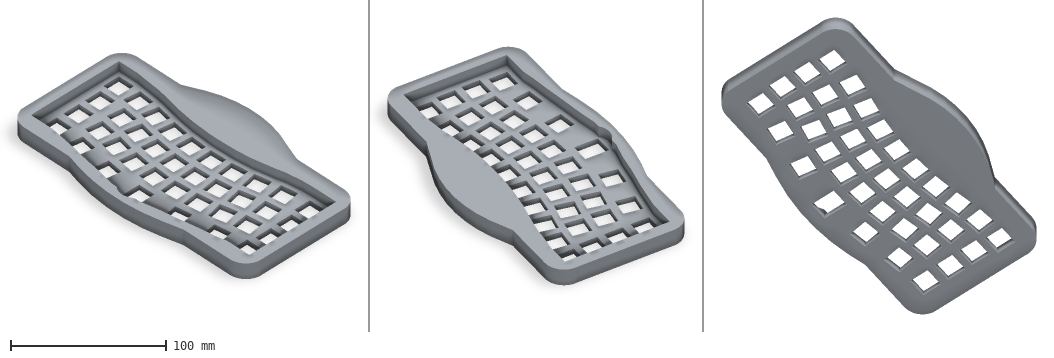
import cadquery as cq
import math

HEIGHT = 13.0
FLOOR_THICKNESS = 4.4
LEFT_X = -109.5
RIGHT_X = 109.4
BACK_Y = 51.5
FRONT_Y = -BACK_Y
SIDE_END_X = 95.1
BACK_CORNER_Y = 35.3
FRONT_CORNER_Y = -39.0
BACK_LEFT_MIDDLE = (-105.5, 47.3)
BACK_RIGHT_MIDDLE = (105.5, 47.1)
FRONT_RIGHT_MIDDLE = (105.5, -47.1)
FRONT_LEFT_MIDDLE = (-105.5, -47.1)

CREST_X = -2.6
BACK_CREST_Y = 66.0
CREST_TO_CREST = 125.8
FRONT_CREST_Y = BACK_CREST_Y - CREST_TO_CREST
BACK_LEAN = 0.5
BACK_BULGE = {
    "left_foot_x": -55.7,
    "left_shoulder": (-39.7, 58.7),
    "crest": (CREST_X, BACK_CREST_Y),
    "right_shoulder": (35.7, 57.5),
    "right_foot_x": 51.5,
}
FRONT_BULGE = {
    "left_foot_x": -53.0,
    "left_shoulder": (-40.3, -55.0),
    "crest": (CREST_X, FRONT_CREST_Y),
    "right_shoulder": (36.0, -55.5),
    "right_foot_x": 52.5,
}

KEY_SIZE = 14.0
BACK_ROW = [
    (-90.3, 29.4, 0), (-70.5, 27.8, -6), (-51.5, 24.8, -11.5), (-32.7, 21.3, -8.5), (-13.5, 19.3, -4),
    (5.7, 18.9, 1.5), (24.8, 20.0, 6), (43.8, 23.0, 11), (63.8, 27.0, 8), (87.0, 28.3, 0),
]
SECOND_ROW = [
    (-88.0, 10.3, 0), (-65.8, 8.3, -7.5), (-47.0, 4.8, -12.5), (-27.8, 1.5, -7.5), (-8.8, -0.2, -2.5),
    (10.5, -0.2, 2.5), (29.5, 1.5, 7.5), (48.5, 4.8, 12.5), (68.2, 8.3, 7.5), (89.2, 9.6, 0),
]
THIRD_ROW = [
    (-88.0, -9.0, 0), (-66.0, -11.2, -8), (-47.1, -14.7, -12), (-27.6, -18.0, -8.5), (-8.0, -19.3, -4),
    (12.0, -19.0, 4), (31.3, -17.5, 7), (50.6, -14.2, 12.5), (70.0, -10.7, 7.5), (89.9, -9.6, 0),
]
FRONT_ROW_LEFT = [(-88.0, -29.0, 0), (-63.4, -31.5, -9), (-34.0, -36.8, -8.5)]
FRONT_ROW_RIGHT = [(31.8, -37.0, 9), (62.7, -32.0, 8.5), (87.7, -29.0, 0)]

THUMB_X = -1.3
THUMB_Y = -41.2
THUMB_LENGTH = 18.0

POCKET_LEFT = -100.8
POCKET_RIGHT = 100.6
WALL_OFFSET = 10.5
THUMB_WALL_Y = -51.5
THUMB_WALL_HALF = 13.2
THUMB_RELIEF_HALF = 8.1
THUMB_RELIEF_DEPTH = 3.0


def body():
    """Main block with straight sides joined by corner arcs."""
    return (
        cq.Workplane("XY")
        .moveTo(-SIDE_END_X, BACK_Y)
        .lineTo(SIDE_END_X, BACK_Y)
        .threePointArc(BACK_RIGHT_MIDDLE, (RIGHT_X, BACK_CORNER_Y))
        .lineTo(RIGHT_X, FRONT_CORNER_Y)
        .threePointArc(FRONT_RIGHT_MIDDLE, (SIDE_END_X, FRONT_Y))
        .lineTo(-SIDE_END_X, FRONT_Y)
        .threePointArc(FRONT_LEFT_MIDDLE, (LEFT_X, FRONT_CORNER_Y))
        .lineTo(LEFT_X, BACK_CORNER_Y)
        .threePointArc(BACK_LEFT_MIDDLE, (-SIDE_END_X, BACK_Y))
        .close()
        .extrude(HEIGHT)
    )


def bulge_wire(shape, root_y, lean, z):
    """Closed outline of a bulge at height z, with its crest drawn in by lean."""
    crest_x, crest_y = shape["crest"]
    return (
        cq.Workplane("XY", origin=(0, 0, z))
        .moveTo(shape["left_foot_x"], root_y)
        .lineTo(*shape["left_shoulder"])
        .threePointArc((crest_x, crest_y - lean), shape["right_shoulder"])
        .lineTo(shape["right_foot_x"], root_y)
        .lineTo(shape["right_foot_x"], 0)
        .lineTo(shape["left_foot_x"], 0)
        .close()
        .val()
    )


def bulge(shape, root_y, lean=0):
    """Bulge standing on the long side of the body at root_y, leaning in towards the underside."""
    bottom = bulge_wire(shape, root_y, lean, 0)
    top = bulge_wire(shape, root_y, 0, HEIGHT)
    return cq.Workplane(cq.Solid.makeLoft([bottom, top], True))


def wall_points(keys, offset):
    """Ends of the wall stretch facing each key, parallel to that key, from left to right."""
    points = []
    for x, y, turn in keys:
        cosine = math.cos(math.radians(turn))
        sine = math.sin(math.radians(turn))
        for along in (-KEY_SIZE / 2, KEY_SIZE / 2):
            points.append((x + along * cosine - offset * sine, y + along * sine + offset * cosine))
    return points


def pocket():
    """Pocket from the top face down to the key floor, with a round relief at the thumb key."""
    back = wall_points(BACK_ROW, WALL_OFFSET)
    front_left = wall_points(FRONT_ROW_LEFT, -WALL_OFFSET)
    front_right = wall_points(FRONT_ROW_RIGHT, -WALL_OFFSET)
    before_relief = [
        (THUMB_X - THUMB_WALL_HALF, THUMB_WALL_Y),
        (THUMB_X - THUMB_RELIEF_HALF, THUMB_WALL_Y),
    ]
    relief_bottom = (THUMB_X, THUMB_WALL_Y - THUMB_RELIEF_DEPTH)
    after_relief = [
        (THUMB_X + THUMB_RELIEF_HALF, THUMB_WALL_Y),
        (THUMB_X + THUMB_WALL_HALF, THUMB_WALL_Y),
    ]
    outline = (
        after_relief
        + front_right
        + [(POCKET_RIGHT, front_right[-1][1]), (POCKET_RIGHT, back[-1][1])]
        + back[::-1]
        + [(POCKET_LEFT, back[0][1]), (POCKET_LEFT, front_left[0][1])]
        + front_left
        + before_relief
    )
    return (
        cq.Workplane("XY", origin=(0, 0, FLOOR_THICKNESS))
        .polyline(outline)
        .threePointArc(relief_bottom, outline[0])
        .close()
        .extrude(HEIGHT)
    )


def opening(x, y, turn, length=KEY_SIZE):
    """Cutter for one key opening through the floor."""
    return (
        cq.Workplane("XY")
        .box(KEY_SIZE, length, 2 * HEIGHT)
        .rotate((0, 0, 0), (0, 0, 1), turn)
        .translate((x, y, 0))
    )


result = body().union(bulge(BACK_BULGE, BACK_Y, BACK_LEAN)).union(bulge(FRONT_BULGE, FRONT_Y))
result = result.cut(pocket())

for x, y, turn in BACK_ROW + SECOND_ROW + THIRD_ROW + FRONT_ROW_LEFT + FRONT_ROW_RIGHT:
    result = result.cut(opening(x, y, turn))
result = result.cut(opening(THUMB_X, THUMB_Y, 0, THUMB_LENGTH))